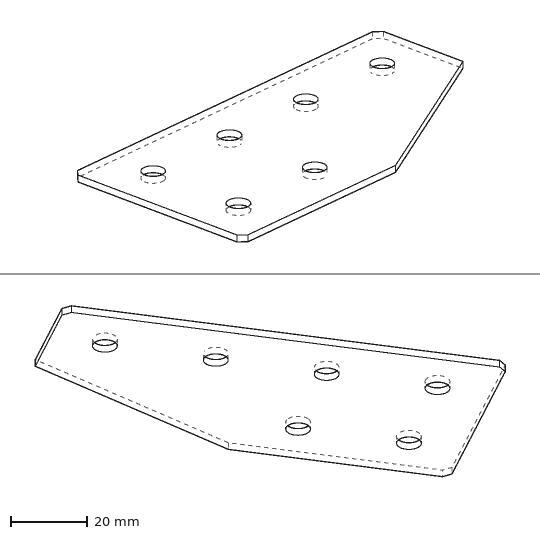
import cadquery as cq

pitch = 30.0
thickness = 2.0
hole_diameter = 6.5
corner_chamfer = 2.0

width = 2 * pitch
length = 4 * pitch

outline = [
    (0, 0),
    (width, 0),
    (width, length / 2),
    (width / 2, length),
    (0, length),
]
plate = cq.Workplane("XY").polyline(outline).close().extrude(thickness)

square_corners = [(0, 0), (width, 0), (0, length)]
for x, y in square_corners:
    corner_edge = cq.selectors.NearestToPointSelector((x, y, thickness / 2))
    plate = plate.edges("|Z").edges(corner_edge).chamfer(corner_chamfer)

hole_columns = [4, 2]
hole_centers = [
    ((column + 0.5) * pitch, (row + 0.5) * pitch)
    for column, hole_count in enumerate(hole_columns)
    for row in range(hole_count)
]
holes = cq.Workplane("XY").pushPoints(hole_centers).circle(hole_diameter / 2).extrude(thickness)

result = plate.cut(holes)